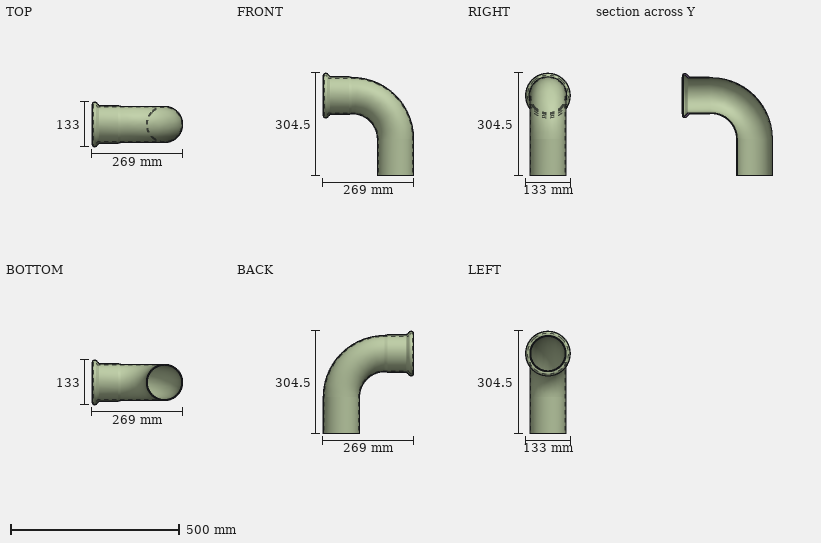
import cadquery as cq
import math

length_x = 269.0
height_z = 304.5
bead_radius = 133.0 / 2

pipe_radius = 108.0 / 2
bore_radius = 51.2
bend_start_x = 85.5
leg_axis_x = length_x - pipe_radius
bend_radius = leg_axis_x - bend_start_x
socket_axis_z = height_z - bead_radius
leg_length = socket_axis_z - bend_radius

socket_radius = 112.0 / 2
socket_end_x = 77.3
bead_round = 7.45
neck_fillet = 2.0

mouth_radius = 54.0
lip_depth = 3.5
groove_round = 3.0
groove_end_x = 17.5
groove_blend_length = 1.8


def socket_outline():
    """Closed half section of the solid socket; first value along X, second the radius."""
    round_centre_radius = bead_radius - bead_round
    diagonal = bead_round * math.sqrt(0.5)
    flank_start_x = bead_round + diagonal
    flank_start_radius = round_centre_radius + diagonal
    neck_x = flank_start_x + flank_start_radius - socket_radius
    tangent_length = neck_fillet * math.tan(math.pi / 8)
    tangent_leg = tangent_length * math.sqrt(0.5)
    fillet_end_x = neck_x + tangent_length
    return (
        cq.Workplane("XZ")
        .moveTo(0, 0)
        .lineTo(0, round_centre_radius)
        .threePointArc((bead_round, bead_radius), (flank_start_x, flank_start_radius))
        .lineTo(neck_x - tangent_leg, socket_radius + tangent_leg)
        .tangentArcPoint((fillet_end_x, socket_radius), relative=False)
        .lineTo(socket_end_x, socket_radius)
        .lineTo(bend_start_x, pipe_radius)
        .lineTo(bend_start_x, 0)
        .close()
    )


def bore_outline():
    """Closed half section of the socket bore and the seal groove inside the bead."""
    diagonal = groove_round * math.sqrt(0.5)
    round_centre_x = lip_depth + groove_round
    flank_sum = groove_end_x + bore_radius
    round_centre_radius = flank_sum - round_centre_x - 2 * diagonal
    blend_leg = groove_blend_length * math.sqrt(0.5)
    return (
        cq.Workplane("XZ")
        .moveTo(0, 0)
        .lineTo(0, mouth_radius)
        .lineTo(lip_depth, mouth_radius)
        .lineTo(lip_depth, round_centre_radius)
        .threePointArc(
            (round_centre_x, round_centre_radius + groove_round),
            (round_centre_x + diagonal, round_centre_radius + diagonal),
        )
        .lineTo(groove_end_x - blend_leg, bore_radius + blend_leg)
        .tangentArcPoint((groove_end_x + groove_blend_length, bore_radius), relative=False)
        .lineTo(bend_start_x, bore_radius)
        .lineTo(bend_start_x, 0)
        .close()
    )


def turn_about_socket_axis(outline):
    turned = outline.revolve(360, (0, 0), (1, 0))
    return turned.translate((0, 0, socket_axis_z))


def bend_and_leg(radius):
    """Solid rod of the given radius through the 90 degree bend and the vertical leg."""
    leg = cq.Workplane("XY").center(leg_axis_x, 0).circle(radius).extrude(leg_length)
    bend = (
        cq.Workplane("XY", origin=(leg_axis_x, 0, leg_length))
        .circle(radius)
        .revolve(90, (-bend_radius, 0), (-bend_radius, -1))
    )
    return leg.union(bend)


body = turn_about_socket_axis(socket_outline()).union(bend_and_leg(pipe_radius))
passage = turn_about_socket_axis(bore_outline()).union(bend_and_leg(bore_radius))
result = body.cut(passage)